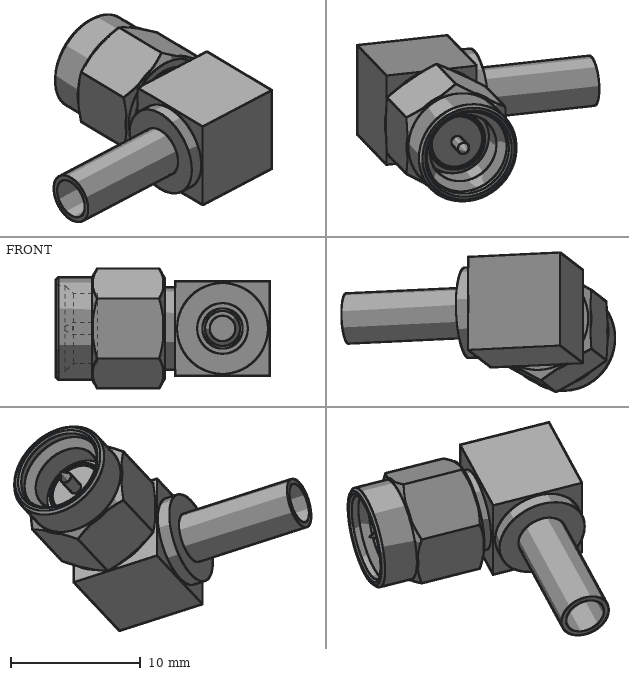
import cadquery as cq
import math


hex_across_flats = 8.0
hex_corner_radius = hex_across_flats / math.sqrt(3)
sleeve_radius = 3.95
sleeve_length = 2.82
sleeve_chamfer = 0.22
nut_back_x = 8.42
nut_cone_slope = math.tan(math.radians(60))
front_cone_length = 0.38
back_cone_length = 0.44
collar_radius = 4.08

mouth_radius = 3.5
mouth_chamfer = 0.18
entry_radius = mouth_radius - mouth_chamfer
entry_end_x = 0.73
bore_radius = 2.7
bore_cone_end_x = 1.37
bore_floor_x = 3.25

contact_radius = 2.26
contact_height = 0.4
recess_mouth_radius = 2.1
recess_floor_radius = 2.04
recess_depth = 0.05
pin_radius = 0.45
pin_tip_x = 0.4
pin_cone_length = 0.9

overall_length_x = 16.5
overall_length_y = 18.22
block_size = 7.3
block_start_x = overall_length_x - block_size
neck_radius = 3.19

tube_axis_x = block_start_x + block_size / 2
flange_radius = 3.5
flange_thickness = 1.0
tube_outer_radius = 1.95
tube_inner_radius = 1.55
tube_length = overall_length_y - collar_radius - block_size / 2 - flange_thickness
core_base_radius = 1.35
core_tip_radius = 0.98
core_height = 1.1


def cylinder_x(radius, start_x, end_x):
    return cq.Workplane("YZ", origin=(start_x, 0, 0)).circle(radius).extrude(end_x - start_x)


def revolve_x(profile):
    """Revolve an (x, radius) outline about the X axis."""
    return cq.Workplane("XY").polyline(profile).close().revolve(360, (0, 0, 0), (1, 0, 0))


def make_nut_body():
    front_end_radius = hex_corner_radius - nut_cone_slope * front_cone_length
    back_end_radius = hex_corner_radius - nut_cone_slope * back_cone_length
    hex_start_x = sleeve_length + (collar_radius - front_end_radius) / nut_cone_slope
    hex_end_x = nut_back_x - (collar_radius - back_end_radius) / nut_cone_slope

    hexagon = (
        cq.Workplane("YZ", origin=(hex_start_x, 0, 0))
        .polygon(6, 2 * hex_corner_radius)
        .extrude(hex_end_x - hex_start_x)
        .rotate((0, 0, 0), (1, 0, 0), 90)
    )
    collars = cylinder_x(collar_radius, sleeve_length, hex_start_x).union(
        cylinder_x(collar_radius, hex_end_x, nut_back_x)
    )
    cone_limits = revolve_x([
        (sleeve_length, 0),
        (sleeve_length, front_end_radius),
        (sleeve_length + front_cone_length, hex_corner_radius),
        (nut_back_x - back_cone_length, hex_corner_radius),
        (nut_back_x, back_end_radius),
        (nut_back_x, 0),
    ])
    sleeve = cylinder_x(sleeve_radius, 0, sleeve_length).faces("<X").chamfer(sleeve_chamfer)
    return hexagon.union(collars).intersect(cone_limits).union(sleeve)


def make_nut_bore():
    return revolve_x([
        (0, 0),
        (0, mouth_radius),
        (mouth_chamfer, entry_radius),
        (entry_end_x, entry_radius),
        (bore_cone_end_x, bore_radius),
        (bore_floor_x, bore_radius),
        (bore_floor_x, 0),
    ])


def make_contact():
    """Raised face with a shallow tapered recess, around a pointed pin."""
    front_x = bore_floor_x - contact_height
    recess_floor_x = front_x + recess_depth
    return revolve_x([
        (bore_floor_x, 0),
        (bore_floor_x, contact_radius),
        (front_x, contact_radius),
        (front_x, recess_mouth_radius),
        (recess_floor_x, recess_floor_radius),
        (recess_floor_x, pin_radius),
        (pin_tip_x + pin_cone_length, pin_radius),
        (pin_tip_x, 0),
    ])


def make_elbow():
    block = cq.Workplane("XY", origin=(tube_axis_x, 0, 0)).box(block_size, block_size, block_size)
    return block.union(cylinder_x(neck_radius, nut_back_x, block_start_x))


def make_crimp_tube():
    """Flange and hollow tube, with a tapered core standing on the tube floor."""
    block_face = cq.Workplane("XZ", origin=(tube_axis_x, -block_size / 2, 0))
    flange = block_face.circle(flange_radius).extrude(flange_thickness)
    flange_face = block_face.workplane(offset=flange_thickness)
    tube = flange_face.circle(tube_outer_radius).circle(tube_inner_radius).extrude(tube_length)
    core = (
        flange_face.circle(core_base_radius)
        .workplane(offset=core_height)
        .circle(core_tip_radius)
        .loft(ruled=True)
    )
    return flange.union(tube).union(core)


nut = make_nut_body().cut(make_nut_bore()).union(make_contact())
result = nut.union(make_elbow()).union(make_crimp_tube())